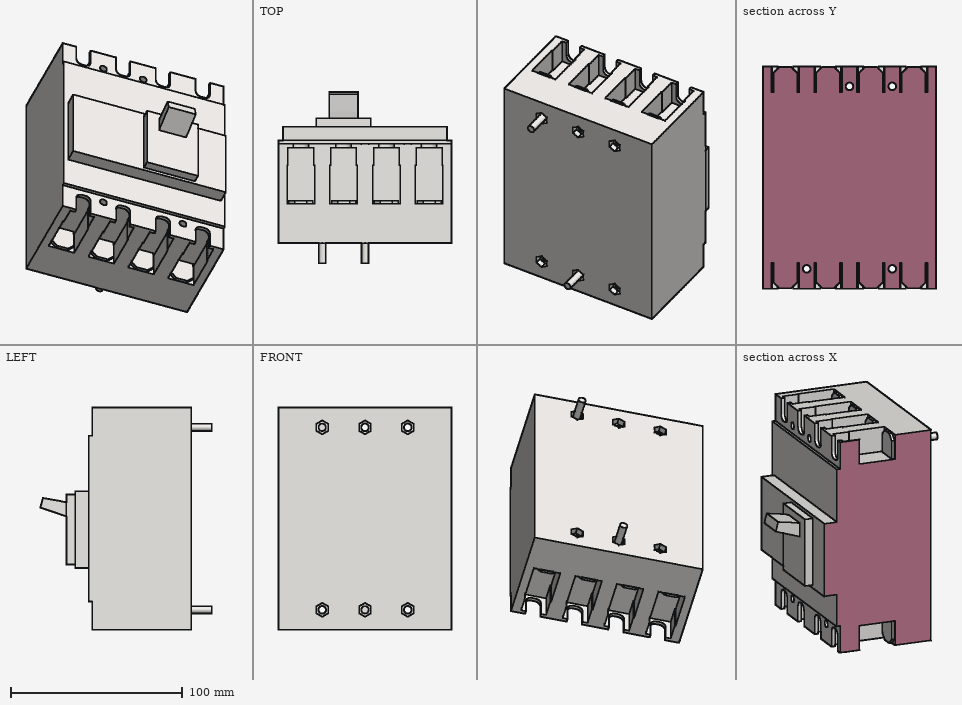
import cadquery as cq


WIDTH = 101.2
HEIGHT = 130.0
CASE_DEPTH = 58.0

PLATE_FRONT = 60.0
PLATE_HEIGHT = 97.0
PANEL_FRONT = 68.0
PANEL_WIDTH = 96.0
PANEL_HEIGHT = 45.0
PANEL_Z = -6.4
FRAME_FRONT = 73.0
FRAME_WIDTH = 32.0
FRAME_HEIGHT = 41.0

POLE_COUNT = 4
POLE_PITCH = 25.0
POLE_X = [POLE_PITCH * (i - (POLE_COUNT - 1) / 2) for i in range(POLE_COUNT)]

LEVER_X = POLE_X[1]
LEVER_WIDTH = 17.0
LEVER_SIDE = [
    (FRAME_FRONT, 1.2),
    (88.35, 6.4),
    (86.8, 12.1),
    (77.0, 10.4),
    (FRAME_FRONT, 9.5),
]

POCKET_DEPTH = 15.0
POCKET_BACK = 23.0
POCKET_STEP = 45.5
POCKET_FRONT = 55.8
POCKET_WIDE = 16.0
POCKET_NARROW = 15.0
SLOT_WIDTH = 9.0
SLOT_DEPTH = 13.0
SLOT_RADIUS = 3.5

LEDGE_THICKNESS = 1.8
LEDGE_WIDTH = 14.0
LEDGE_FLAT = 7.0
LEDGE_DROP = 0.3
LEDGE_SHOULDER = (LEDGE_WIDTH - LEDGE_FLAT) / 2

HOLE_X = [POLE_PITCH * i for i in (-1, 0, 1)]
HOLE_Z = 53.3
HOLE_DIAMETER = 4.3
HEX_ACROSS_FLATS = 7.0
HEX_ACROSS_CORNERS = HEX_ACROSS_FLATS * 2 / 3 ** 0.5
HEX_DEPTH = 4.0

STUD_LENGTH = 11.88
STUD_POSITIONS = [(HOLE_X[0], HOLE_Z), (HOLE_X[1], -HOLE_Z)]


def box(width, back, front, bottom, top, x=0.0):
    """Block centred on x, between the given Y and Z limits."""
    size = (width, front - back, top - bottom)
    return cq.Workplane("XY").box(*size, centered=(True, False, False)).translate((x, back, bottom))


def layer(width, height, front, x=0.0, z=0.0):
    """Block reaching from the front of the case to the given Y position."""
    return box(width, CASE_DEPTH, front, z - height / 2, z + height / 2, x)


def rod(x, z, back, front):
    """Cylinder along Y with the diameter of the mounting holes."""
    plane = cq.Workplane("XZ", origin=(x, back, z))
    return plane.circle(HOLE_DIAMETER / 2).extrude(back - front)


def terminal_pocket(x):
    """Volume cut from the top end of the case for one pole."""
    top = HEIGHT / 2
    floor = top - POCKET_DEPTH
    wide = box(POCKET_WIDE, POCKET_BACK, POCKET_STEP, floor, top, x)
    narrow = box(POCKET_NARROW, POCKET_STEP, POCKET_FRONT, floor, top, x)
    slot = box(SLOT_WIDTH, POCKET_FRONT, CASE_DEPTH, top - SLOT_DEPTH, top, x)
    slot = slot.edges("|Y and <Z").fillet(SLOT_RADIUS)
    ledge_top = top - LEDGE_DROP
    shoulder = ledge_top - LEDGE_SHOULDER
    ledge = (
        cq.Workplane("XZ", origin=(x, POCKET_BACK, 0))
        .moveTo(-LEDGE_WIDTH / 2, floor)
        .lineTo(-LEDGE_WIDTH / 2, shoulder)
        .lineTo(-LEDGE_FLAT / 2, ledge_top)
        .lineTo(LEDGE_FLAT / 2, ledge_top)
        .lineTo(LEDGE_WIDTH / 2, shoulder)
        .lineTo(LEDGE_WIDTH / 2, floor)
        .close()
        .extrude(-LEDGE_THICKNESS)
    )
    return wide.union(narrow).union(slot).cut(ledge)


def hex_recess(x, z):
    """Nut recess in the back face with corners pointing up and down."""
    plane = cq.Workplane("XZ", origin=(x, 0, z))
    return plane.transformed(rotate=(0, 0, 90)).polygon(6, HEX_ACROSS_CORNERS).extrude(-HEX_DEPTH)


def lever():
    side = cq.Workplane("YZ", origin=(LEVER_X, 0, 0)).polyline(LEVER_SIDE).close()
    return side.extrude(LEVER_WIDTH / 2, both=True)


result = box(WIDTH, 0, CASE_DEPTH, -HEIGHT / 2, HEIGHT / 2)

for pole_x in POLE_X:
    pocket = terminal_pocket(pole_x)
    result = result.cut(pocket).cut(pocket.mirror("XY"))

for hole_x in HOLE_X:
    for hole_z in (HOLE_Z, -HOLE_Z):
        result = result.cut(hex_recess(hole_x, hole_z))
        if (hole_x, hole_z) not in STUD_POSITIONS:
            result = result.cut(rod(hole_x, hole_z, 0, CASE_DEPTH))

for stud_x, stud_z in STUD_POSITIONS:
    result = result.union(rod(stud_x, stud_z, -STUD_LENGTH, HEX_DEPTH))

result = result.union(layer(WIDTH, PLATE_HEIGHT, PLATE_FRONT))
result = result.union(layer(PANEL_WIDTH, PANEL_HEIGHT, PANEL_FRONT, 0, PANEL_Z))
result = result.union(layer(FRAME_WIDTH, FRAME_HEIGHT, FRAME_FRONT, LEVER_X, PANEL_Z))
result = result.union(lever())